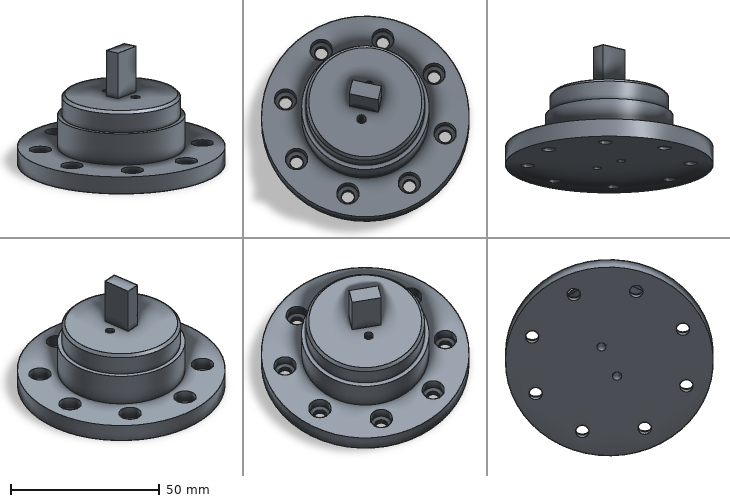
import cadquery as cq

flange_diameter = 70.0
flange_thickness = 6.0

hub_diameter = 43.0
hub_height = 11.0
spigot_diameter = 40.0
total_height = 40.5
blade_height = 16.0
spigot_chamfer = 1.0

blade_width = 5.0
blade_depth = 10.0

bolt_count = 8
bolt_circle_radius = 27.5
bolt_hole_diameter = 4.5
counterbore_diameter = 7.4
counterbore_depth = 4.0

side_hole_offset = 6.0
side_hole_diameter = 3.0

hub_top = flange_thickness + hub_height
spigot_top = total_height - blade_height


def cylinder(diameter, bottom, top):
    """Upright cylinder on the part axis."""
    return cq.Workplane("XY").workplane(offset=bottom).circle(diameter / 2).extrude(top - bottom)


flange = cylinder(flange_diameter, 0, flange_thickness)
hub = cylinder(hub_diameter, 0, hub_top)
spigot = cylinder(spigot_diameter, 0, spigot_top).faces(">Z").chamfer(spigot_chamfer)
blade = cq.Workplane("XY").rect(blade_width, blade_depth).extrude(total_height)
body = flange.union(hub).union(spigot).union(blade)

bolt_holes = (
    cq.Workplane("XY")
    .polarArray(bolt_circle_radius, 0, 360, bolt_count)
    .circle(bolt_hole_diameter / 2)
    .extrude(flange_thickness)
)
counterbores = (
    cq.Workplane("XY")
    .workplane(offset=flange_thickness - counterbore_depth)
    .polarArray(bolt_circle_radius, 0, 360, bolt_count)
    .circle(counterbore_diameter / 2)
    .extrude(counterbore_depth)
)

side_holes = (
    cq.Workplane("XY")
    .pushPoints([(-side_hole_offset, 0), (side_hole_offset, 0)])
    .circle(side_hole_diameter / 2)
    .extrude(spigot_top)
)

result = body.cut(bolt_holes).cut(counterbores).cut(side_holes)